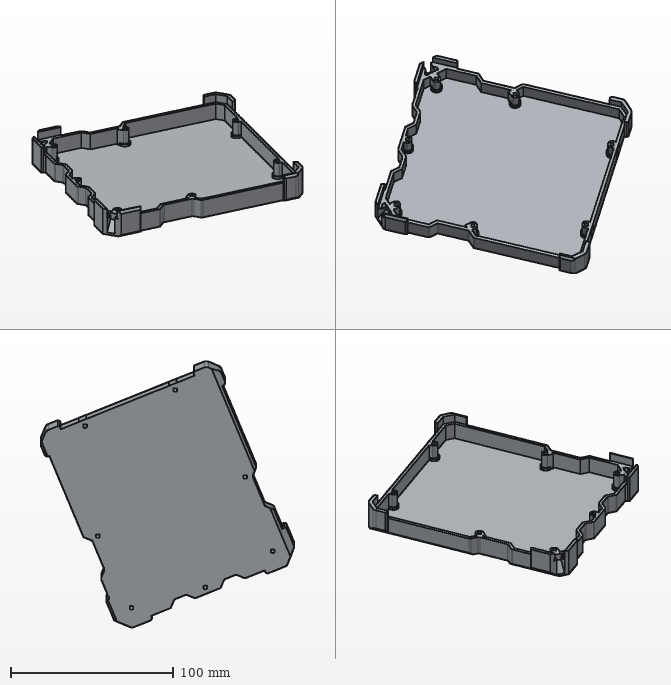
import cadquery as cq
LENGTH_X = 120.0
LENGTH_Y = 135.0
HEIGHT = 17.5
HALF_X = LENGTH_X / 2
HALF_Y = LENGTH_Y / 2

WALL = 2.0
FLOOR = 1.5
WALL_TOP = 12.2
TRAY_INSET = 2.5
TRAY_X = HALF_X - TRAY_INSET
TRAY_Y = HALF_Y - TRAY_INSET
REAR_CORNER = 5.4
FRONT_CORNER = 12.5

JOG_DEPTH = 4.2
JOG_ROUND = 1.4
SIDE_JOG_Y = -17.4
SIDE_JOG_HALF = 14.2
FRONT_JOG_X = 16.6
FRONT_JOG_HALF = 8.1

GUARD_WALL = 2.0
REAR_LEG = 15.5
FRONT_LEG = 22.3
LEG_END_CHAMFER = 1.0
REAR_GUARD_CORNER = 6.8
REAR_GUARD_ROUND = 3.5
FRONT_GUARD_CORNER = 8.5
LEFT_BOTTOM_CHAMFER = 4.2
RIGHT_EDGE_CHAMFER = 1.5

POST_D = 5.0
POST_FOOT_D = 7.0
POST_FOOT_TOP = FLOOR + 1.5
SCREW_D = 2.4
REAR_POST = (30.0, 61.2)
SIDE_POST = (49.0, -6.0)
FRONT_POST = (47.0, -55.6)
MIDDLE_POST = (0, -61.0)
POST_REACH = 3.9

LATCH_WIDTH = 5.0
LATCH_DEPTH = 6.2
LATCH_SILL = 1.6
LIP_WIDTH = 8.8
LIP_DEPTH = 1.6


def prism(points, height):
    return cq.Workplane("XY").polyline(points).close().extrude(height)


def with_mirror(half_outline):
    """Complete an outline given for X > 0 with its mirror image."""
    return half_outline + [(-x, y) for x, y in reversed(half_outline)]


def tray_outline():
    side_jog_rear = SIDE_JOG_Y + SIDE_JOG_HALF
    side_jog_front = SIDE_JOG_Y - SIDE_JOG_HALF
    jog_outer = FRONT_JOG_X + FRONT_JOG_HALF
    jog_inner = FRONT_JOG_X - FRONT_JOG_HALF
    corners = [
        (TRAY_X - REAR_CORNER, TRAY_Y),
        (TRAY_X, TRAY_Y - REAR_CORNER),
    ]
    side_jog = [
        (TRAY_X, side_jog_rear),
        (TRAY_X - JOG_DEPTH, side_jog_rear - JOG_DEPTH),
        (TRAY_X - JOG_DEPTH, side_jog_front + JOG_DEPTH),
        (TRAY_X, side_jog_front),
    ]
    front_corner = [
        (TRAY_X, -TRAY_Y + FRONT_CORNER),
        (TRAY_X - FRONT_CORNER, -TRAY_Y),
    ]
    front_jog = [
        (jog_outer, -TRAY_Y),
        (jog_outer - JOG_DEPTH, -TRAY_Y + JOG_DEPTH),
        (jog_inner + JOG_DEPTH, -TRAY_Y + JOG_DEPTH),
        (jog_inner, -TRAY_Y),
    ]
    return with_mirror(corners + side_jog + front_corner + front_jog)


def vertical_edges_in(solid, half_x, y_min, y_max):
    box = cq.selectors.BoxSelector((-half_x, y_min, -HEIGHT), (half_x, y_max, 2 * HEIGHT))
    return solid.edges("|Z").edges(box)


def tray_block(height):
    """Solid block with the outer shape of the tray wall, jogs rounded."""
    block = prism(tray_outline(), height)
    side_jog_end = SIDE_JOG_HALF + JOG_ROUND
    block = vertical_edges_in(
        block, HALF_X, SIDE_JOG_Y - side_jog_end, SIDE_JOG_Y + side_jog_end
    ).fillet(JOG_ROUND)
    front_jog_end = FRONT_JOG_X + FRONT_JOG_HALF + JOG_ROUND
    return vertical_edges_in(block, front_jog_end, -HALF_Y, -HALF_Y / 2).fillet(JOG_ROUND)


def cavity():
    outline = cq.Workplane("XY").workplane(offset=FLOOR).polyline(tray_outline()).close()
    return outline.offset2D(-WALL, "intersection").extrude(HEIGHT)


def guard_envelope():
    """Block bounded by the outer faces of all four guards."""
    half_outline = [
        (HALF_X - REAR_GUARD_CORNER, HALF_Y),
        (HALF_X, HALF_Y - REAR_GUARD_CORNER),
        (HALF_X, -HALF_Y + FRONT_GUARD_CORNER),
        (HALF_X - FRONT_GUARD_CORNER, -HALF_Y),
    ]
    block = prism(with_mirror(half_outline), HEIGHT)
    return vertical_edges_in(block, HALF_X + 1.4, 0, HALF_Y + 1.4).fillet(REAR_GUARD_ROUND)


def leg_region(side, end, leg):
    """Corner square that limits a pair of guard legs and chamfers their ends."""
    outline = [
        (HALF_X, HALF_Y),
        (HALF_X, HALF_Y - leg + LEG_END_CHAMFER),
        (HALF_X - LEG_END_CHAMFER, HALF_Y - leg),
        (HALF_X - leg, HALF_Y - leg),
        (HALF_X - leg, HALF_Y - LEG_END_CHAMFER),
        (HALF_X - leg + LEG_END_CHAMFER, HALF_Y),
    ]
    return prism([(side * x, end * y) for x, y in outline], HEIGHT)


def rear_guard(side):
    return guard_envelope().intersect(leg_region(side, 1, REAR_LEG)).cut(tray_block(HEIGHT))


def front_guard(side):
    """Solid corner up to the wall top, with only the outer legs rising above it."""
    inside = (
        cq.Workplane("XY")
        .workplane(offset=WALL_TOP)
        .rect(LENGTH_X - 2 * GUARD_WALL, LENGTH_Y - 2 * GUARD_WALL)
        .extrude(HEIGHT - WALL_TOP)
    )
    return guard_envelope().intersect(leg_region(side, -1, FRONT_LEG)).cut(inside)


def long_edge_cutter(x, z, size):
    """Diamond bar along Y that chamfers the edge at (x, z)."""
    return (
        cq.Workplane("XZ", origin=(x, 0, z))
        .polyline([(size, 0), (0, size), (-size, 0), (0, -size)])
        .close()
        .extrude(HALF_Y, both=True)
    )


def post(place, wall_angle):
    """Screw post on a round foot, joined to the wall by a web in the direction wall_angle."""
    body = cq.Workplane("XY").circle(POST_D / 2).extrude(WALL_TOP)
    body = body.union(cq.Workplane("XY").circle(POST_FOOT_D / 2).extrude(POST_FOOT_TOP))
    web = cq.Workplane("XY").rect(POST_REACH, POST_D).extrude(WALL_TOP)
    body = body.union(web.translate((POST_REACH / 2, 0, 0)))
    return body.rotate((0, 0, 0), (0, 0, 1), wall_angle).translate((*place, 0))


def side_post_corner(side):
    """Square corner that fills the gap between a side post and the straight wall of the jog."""
    post_x, post_y = SIDE_POST
    corner_x = post_x + POST_D / 2
    corner_y = post_y - POST_D / 2
    outline = [(post_x, post_y), (corner_x, post_y), (corner_x, corner_y), (post_x, corner_y)]
    return prism([(side * x, y) for x, y in outline], WALL_TOP)


def latch_pocket(side):
    """Ramped slot through a front corner with a flared lip at its inner end."""
    flare_side = (LIP_WIDTH - LATCH_WIDTH) / 2
    ramp = (
        cq.Workplane("XZ")
        .polyline([
            (-LATCH_DEPTH, LATCH_SILL - LATCH_DEPTH),
            (LATCH_DEPTH, LATCH_SILL + LATCH_DEPTH),
            (LATCH_DEPTH, HEIGHT),
            (-LATCH_DEPTH, HEIGHT),
        ])
        .close()
        .extrude(LATCH_WIDTH / 2, both=True)
    )
    above_sill = cq.Workplane("XY").workplane(offset=LATCH_SILL).rect(HALF_X, HALF_X).extrude(HEIGHT)
    flare_plan = [
        (LATCH_DEPTH, LIP_WIDTH / 2),
        (LATCH_DEPTH - LIP_DEPTH, LIP_WIDTH / 2),
        (LATCH_DEPTH - LIP_DEPTH - flare_side, LATCH_WIDTH / 2),
    ]
    flare = prism(flare_plan + [(u, -v) for u, v in reversed(flare_plan)], HEIGHT)
    flare_floors = (
        cq.Workplane("YZ")
        .polyline([
            (-LIP_WIDTH / 2, WALL_TOP),
            (-LATCH_WIDTH / 2, WALL_TOP - flare_side),
            (LATCH_WIDTH / 2, WALL_TOP - flare_side),
            (LIP_WIDTH / 2, WALL_TOP),
        ])
        .close()
        .extrude(LATCH_DEPTH)
    )
    pocket = ramp.intersect(above_sill).union(flare.intersect(flare_floors))

    post_x, post_y = FRONT_POST
    to_face = (HALF_X + HALF_Y - FRONT_GUARD_CORNER - post_x + post_y) / 2
    start = (side * (post_x + to_face), post_y - to_face, 0)
    inward = 135 if side > 0 else 45
    return pocket.rotate((0, 0, 0), (0, 0, 1), inward).translate(start)


tray = tray_block(WALL_TOP)
for side in (-1, 1):
    tray = tray.union(rear_guard(side)).union(front_guard(side))

tray = tray.cut(cavity())
tray = tray.cut(long_edge_cutter(-HALF_X, 0, LEFT_BOTTOM_CHAMFER))
for z in (0, HEIGHT):
    tray = tray.cut(long_edge_cutter(HALF_X, z, RIGHT_EDGE_CHAMFER))

posts = [(MIDDLE_POST, -90)]
for side in (-1, 1):
    towards_front_corner = -45 if side > 0 else -135
    posts.append(((side * REAR_POST[0], REAR_POST[1]), 90))
    posts.append(((side * SIDE_POST[0], SIDE_POST[1]), towards_front_corner))
    posts.append(((side * FRONT_POST[0], FRONT_POST[1]), towards_front_corner))
    tray = tray.union(side_post_corner(side))

for place, wall_angle in posts:
    tray = tray.union(post(place, wall_angle))

for side in (-1, 1):
    tray = tray.cut(latch_pocket(side))

hole_places = [place for place, _ in posts]
screw_holes = cq.Workplane("XY").pushPoints(hole_places).circle(SCREW_D / 2).extrude(HEIGHT)
result = tray.cut(screw_holes)